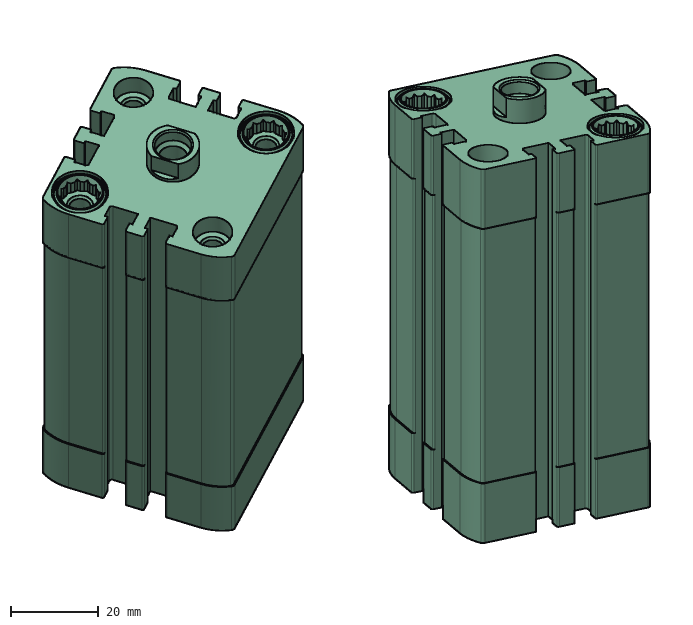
import cadquery as cq
import math

TOTAL_HEIGHT = 100.0
ROD_STICK_OUT = 6.0
HOUSING_HEIGHT = TOTAL_HEIGHT - ROD_STICK_OUT
CAP_HEIGHT = 15.0
CAP_WIDTH = 47.0
BARREL_INSET = 0.3
BARREL_WIDTH = CAP_WIDTH - 2 * BARREL_INSET
BARREL_HEIGHT = HOUSING_HEIGHT - 2 * CAP_HEIGHT

HOLE_SPACING = 32.5
HOLE_OFFSET = HOLE_SPACING / 2
CORNER_RADIUS = 13.0
CORNER_BLEND_RADIUS = 1.0

SLOT_FLOOR_DISTANCE = 17.5
SLOT_LIP_DISTANCE = 20.9
SLOT_CENTER = 4.9
SLOT_OPENING_WIDTH = 5.3
SLOT_CAVITY_WIDTH = 6.8
SLOT_OPENING_INNER = SLOT_CENTER - SLOT_OPENING_WIDTH / 2
SLOT_OPENING_OUTER = SLOT_CENTER + SLOT_OPENING_WIDTH / 2
SLOT_CAVITY_INNER = SLOT_CENTER - SLOT_CAVITY_WIDTH / 2
SLOT_CAVITY_OUTER = SLOT_CENTER + SLOT_CAVITY_WIDTH / 2
SLOT_FLOOR_RADIUS = 0.6
SLOT_LIP_RADIUS = 0.4
SLOT_SIDE_ANGLES = (0, 90, 180)

SCREW_HOLE_DIAMETER = 4.9
SCREW_HOLE_MOUTH_DIAMETER = 6.0
COUNTERBORE_DIAMETER = 9.0
COUNTERBORE_DEPTH = 5.0

SOCKET_GROOVE_OUTER_DIAMETER = 12.8
SOCKET_GROOVE_INNER_DIAMETER = 11.9
SOCKET_GROOVE_DEPTH = 1.0
SOCKET_COLLAR_CHAMFER = 0.5
SOCKET_MOUTH_DIAMETER = 10.2
SOCKET_DIAMETER = 8.6
SOCKET_MOUTH_DEPTH = 1.4
SOCKET_DEPTH = 4.6
SOCKET_ACROSS_FLATS = 8.0
SOCKET_HEXAGON_TURNS = (0, 30)

ROD_DIAMETER = 12.0
ROD_ACROSS_FLATS = 10.0
FLAT_LENGTH = 4.8
FLAT_RUNOUT_ANGLE = 20.0
ROD_BORE_MOUTH_DIAMETER = 9.2
ROD_BORE_DIAMETER = 8.4
ROD_BORE_DEPTH = 3.3
ROD_CORE_DIAMETER = 6.6
ROD_CORE_DEPTH = 16.0
DRILL_POINT_ANGLE = 118.0


def tapered_cut(top_diameter, bottom_diameter, depth, top_z):
    """Truncated cone that narrows downwards from top_z."""
    top_center = cq.Vector(0, 0, top_z)
    down = cq.Vector(0, 0, -1)
    cone = cq.Solid.makeCone(top_diameter / 2, bottom_diameter / 2, depth, top_center, down)
    return cq.Workplane("XY").add(cone)


def round_cut(diameter, depth, top_z):
    """Cylinder that goes down from top_z."""
    return cq.Workplane("XY").workplane(offset=top_z - depth).circle(diameter / 2).extrude(depth)


def corner_block(width, height):
    """Square block whose four corners are wide arcs, tangent to the +Y and -Y sides."""
    half = width / 2
    reach = half - HOLE_OFFSET

    def arc_point(across):
        drop = CORNER_RADIUS - math.sqrt(CORNER_RADIUS**2 - across**2)
        return HOLE_OFFSET + across, half - drop

    middle_x, middle_y = arc_point(reach / 2)
    end_x, end_y = arc_point(reach)
    return (
        cq.Workplane("XY")
        .moveTo(-HOLE_OFFSET, half)
        .lineTo(HOLE_OFFSET, half)
        .threePointArc((middle_x, middle_y), (end_x, end_y))
        .lineTo(end_x, -end_y)
        .threePointArc((middle_x, -middle_y), (HOLE_OFFSET, -half))
        .lineTo(-HOLE_OFFSET, -half)
        .threePointArc((-middle_x, -middle_y), (-end_x, -end_y))
        .lineTo(-end_x, end_y)
        .threePointArc((-middle_x, middle_y), (-HOLE_OFFSET, half))
        .close()
        .extrude(height)
        .edges("|Z and (<X or >X)")
        .fillet(CORNER_BLEND_RADIUS)
    )


def slot_cut(half_width, height):
    """T-slot on the +Y side with rounded lips and one rounded floor corner."""
    lip = SLOT_LIP_RADIUS
    floor = SLOT_FLOOR_RADIUS
    return (
        cq.Workplane("XY")
        .moveTo(SLOT_OPENING_INNER - lip, half_width)
        .radiusArc((SLOT_OPENING_INNER, half_width - lip), lip)
        .lineTo(SLOT_OPENING_INNER, SLOT_LIP_DISTANCE)
        .lineTo(SLOT_CAVITY_INNER, SLOT_LIP_DISTANCE)
        .lineTo(SLOT_CAVITY_INNER, SLOT_FLOOR_DISTANCE)
        .lineTo(SLOT_CAVITY_OUTER - floor, SLOT_FLOOR_DISTANCE)
        .radiusArc((SLOT_CAVITY_OUTER, SLOT_FLOOR_DISTANCE + floor), -floor)
        .lineTo(SLOT_CAVITY_OUTER, SLOT_LIP_DISTANCE)
        .lineTo(SLOT_OPENING_OUTER, SLOT_LIP_DISTANCE)
        .lineTo(SLOT_OPENING_OUTER, half_width - lip)
        .radiusArc((SLOT_OPENING_OUTER + lip, half_width), lip)
        .close()
        .extrude(height)
    )


def slotted_block(width, height, bottom_z):
    """One length of the housing, with a pair of T-slots on three of its sides."""
    block = corner_block(width, height)
    slot = slot_cut(width / 2, height)
    slot_pair = slot.union(slot.mirror("YZ"))
    for angle in SLOT_SIDE_ANGLES:
        block = block.cut(slot_pair.rotate((0, 0, 0), (0, 0, 1), angle))
    return block.translate((0, 0, bottom_z))


def screw_hole_cut(mouth_z):
    """Through hole with a 45 degree countersink at mouth_z."""
    mouth_depth = (SCREW_HOLE_MOUTH_DIAMETER - SCREW_HOLE_DIAMETER) / 2
    hole = round_cut(SCREW_HOLE_DIAMETER, mouth_z, mouth_z)
    return hole.union(tapered_cut(SCREW_HOLE_MOUTH_DIAMETER, SCREW_HOLE_DIAMETER, mouth_depth, mouth_z))


def counterbored_cut():
    """Screw hole at the bottom of a plain counterbore."""
    counterbore = round_cut(COUNTERBORE_DIAMETER, COUNTERBORE_DEPTH, HOUSING_HEIGHT)
    return counterbore.union(screw_hole_cut(HOUSING_HEIGHT - COUNTERBORE_DEPTH))


def socket_groove_cut():
    """Ring groove that leaves a chamfered collar around the socket."""
    groove_floor_z = HOUSING_HEIGHT - SOCKET_GROOVE_DEPTH
    collar = (
        cq.Workplane("XY")
        .workplane(offset=groove_floor_z)
        .circle(SOCKET_GROOVE_INNER_DIAMETER / 2)
        .extrude(SOCKET_GROOVE_DEPTH)
        .faces(">Z")
        .chamfer(SOCKET_COLLAR_CHAMFER)
    )
    return round_cut(SOCKET_GROOVE_OUTER_DIAMETER, SOCKET_GROOVE_DEPTH, HOUSING_HEIGHT).cut(collar)


def socket_cut():
    """Screw hole at the bottom of a twelve-point socket with a bevelled mouth."""
    floor_z = HOUSING_HEIGHT - SOCKET_DEPTH
    wall_top_z = HOUSING_HEIGHT - SOCKET_MOUTH_DEPTH
    mouth = tapered_cut(SOCKET_MOUTH_DIAMETER, SOCKET_DIAMETER, SOCKET_MOUTH_DEPTH, HOUSING_HEIGHT)
    star = round_cut(SOCKET_DIAMETER, wall_top_z - floor_z, wall_top_z)
    hexagon = (
        cq.Workplane("XY")
        .workplane(offset=floor_z)
        .polygon(6, SOCKET_ACROSS_FLATS / math.cos(math.pi / 6))
        .extrude(HOUSING_HEIGHT - floor_z)
    )
    for turn in SOCKET_HEXAGON_TURNS:
        star = star.union(hexagon.rotate((0, 0, 0), (0, 0, 1), turn))
    return mouth.union(star).union(screw_hole_cut(floor_z))


def make_housing():
    """Barrel between two slightly wider caps, with the corner holes and the rod's hole."""
    upper_cap_z = CAP_HEIGHT + BARREL_HEIGHT
    housing = (
        slotted_block(CAP_WIDTH, CAP_HEIGHT, 0)
        .union(slotted_block(BARREL_WIDTH, BARREL_HEIGHT, CAP_HEIGHT))
        .union(slotted_block(CAP_WIDTH, CAP_HEIGHT, upper_cap_z))
    )
    for side in (-1, 1):
        socket_place = (side * HOLE_OFFSET, side * HOLE_OFFSET, 0)
        counterbore_place = (side * HOLE_OFFSET, -side * HOLE_OFFSET, 0)
        housing = housing.cut(socket_groove_cut().translate(socket_place))
        housing = housing.cut(socket_cut().translate(socket_place))
        housing = housing.cut(counterbored_cut().translate(counterbore_place))
    return housing.cut(round_cut(ROD_DIAMETER, HOUSING_HEIGHT - CAP_HEIGHT, HOUSING_HEIGHT))


def rod_flat_cut():
    """Cut for the +Y wrench flat, whose lower end slopes outwards and down."""
    flat_y = ROD_ACROSS_FLATS / 2
    outer_y = ROD_DIAMETER / 2
    flat_end_z = TOTAL_HEIGHT - FLAT_LENGTH
    runout_z = flat_end_z - (outer_y - flat_y) * math.tan(math.radians(FLAT_RUNOUT_ANGLE))
    return (
        cq.Workplane("YZ")
        .moveTo(flat_y, TOTAL_HEIGHT)
        .lineTo(flat_y, flat_end_z)
        .lineTo(outer_y, runout_z)
        .lineTo(outer_y, TOTAL_HEIGHT)
        .close()
        .extrude(outer_y, both=True)
    )


def rod_bore_cut():
    """Stepped bore with a 45 degree mouth, a 45 degree step and a drill point."""
    mouth_depth = (ROD_BORE_MOUTH_DIAMETER - ROD_BORE_DIAMETER) / 2
    step_z = TOTAL_HEIGHT - ROD_BORE_DEPTH
    core_end_z = TOTAL_HEIGHT - ROD_CORE_DEPTH
    step_depth = (ROD_BORE_DIAMETER - ROD_CORE_DIAMETER) / 2
    point_depth = ROD_CORE_DIAMETER / 2 / math.tan(math.radians(DRILL_POINT_ANGLE / 2))
    return (
        tapered_cut(ROD_BORE_MOUTH_DIAMETER, ROD_BORE_DIAMETER, mouth_depth, TOTAL_HEIGHT)
        .union(round_cut(ROD_BORE_DIAMETER, ROD_BORE_DEPTH, TOTAL_HEIGHT))
        .union(tapered_cut(ROD_BORE_DIAMETER, ROD_CORE_DIAMETER, step_depth, step_z))
        .union(round_cut(ROD_CORE_DIAMETER, ROD_CORE_DEPTH, TOTAL_HEIGHT))
        .union(tapered_cut(ROD_CORE_DIAMETER, 0, point_depth, core_end_z))
    )


def make_piston_rod():
    """Rod that stands on the lower cap and sticks out of the upper one."""
    rod = round_cut(ROD_DIAMETER, TOTAL_HEIGHT - CAP_HEIGHT, TOTAL_HEIGHT)
    flat = rod_flat_cut()
    return rod.cut(flat).cut(flat.mirror("XZ")).cut(rod_bore_cut())


housing = make_housing()
piston_rod = make_piston_rod()

result = cq.Compound.makeCompound([housing.val(), piston_rod.val()])